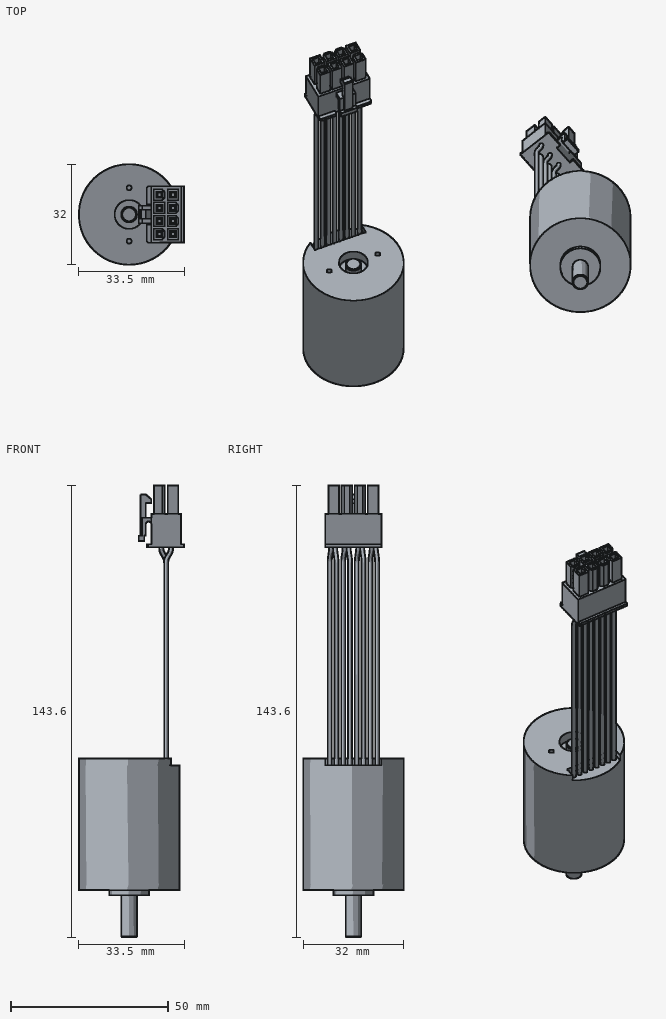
import cadquery as cq

case_diameter = 32.0
end_band_height = 1.7
cap_bottom_z = 39.6
cap_height = 2.2
cap_top_z = cap_bottom_z + cap_height
boss_diameter = 12.8
boss_height = 1.7

shaft_diameter = 5.0
shaft_bottom_z = -15.1
shaft_end_chamfer = 0.36
shaft_top_recess = 0.7

shaft_recess_diameter = 9.2
shaft_recess_depth = 3.6
screw_hole_diameter = 1.6
screw_hole_spacing = 17.0
screw_hole_depth = 2.9
notch_start_x = 9.9
notch_width = 17.8

circuit_rows = 4
socket_row_pitch = 4.2
connector_x = 11.8
connector_depth = 9.5
connector_width = 18.0
connector_bottom_z = 108.8
connector_shoulder_z = 119.5
connector_top_z = 128.5
connector_left_x = connector_x - connector_depth / 2
connector_right_x = connector_x + connector_depth / 2

rim_height = 1.0
rim_latch_side = 1.36
rim_plain_side = 0.93
rim_gap_width = 6.5
rim_corner_chamfer = 0.5

socket_size = 3.5
socket_column_pitch = 4.3
socket_corner_chamfer = 0.9
cavity_size = 2.0
cavity_depth = 8.6
contact_hole_size = 1.1
contact_hole_depth = 2.9

latch_outer_x = 3.6
latch_inner_x = 5.3
latch_top_z = 125.6
latch_tip_chamfer = 0.3
latch_arm_width = 2.9
hook_bottom_z = 122.9
hook_side_z = 124.2
lever_width = 5.6
lever_outer_x = 4.2
lever_top_z = 118.3
bridge_thickness = 1.3
bridge_arch_radius = 0.7
foot_outer_x = 3.0
foot_inner_x = 4.9
foot_top_z = 112.6
foot_bottom_z = 110.9

wire_diameter = 1.36
wire_pitch = 2.2
wire_bend_z = 104.0
wire_entry_offset_x = 1.6
wire_entry_offset_y = 0.65


def cylinder(diameter, bottom_z, top_z):
    return cq.Workplane("XY").workplane(offset=bottom_z).circle(diameter / 2).extrude(top_z - bottom_z)


def block(x_range, width, z_range):
    """Box centred on Y = 0."""
    depth = x_range[1] - x_range[0]
    height = z_range[1] - z_range[0]
    return (
        cq.Workplane("XY")
        .box(depth, width, height, centered=(False, True, False))
        .translate((x_range[0], 0, z_range[0]))
    )


def make_motor():
    motor = cylinder(case_diameter, end_band_height, cap_bottom_z)
    motor = motor.union(cylinder(case_diameter, 0, end_band_height), clean=False)
    motor = motor.union(cylinder(case_diameter, cap_bottom_z, cap_top_z), clean=False)
    motor = motor.union(cylinder(boss_diameter, -boss_height, 0), clean=False)

    notch = block((notch_start_x, case_diameter), notch_width, (cap_bottom_z, cap_top_z))
    motor = motor.cut(notch, clean=False)

    motor = motor.cut(cylinder(shaft_recess_diameter, cap_top_z - shaft_recess_depth, cap_top_z), clean=False)

    for side in (-1, 1):
        hole = cylinder(screw_hole_diameter, cap_top_z - screw_hole_depth, cap_top_z)
        motor = motor.cut(hole.translate((0, side * screw_hole_spacing / 2, 0)), clean=False)

    shaft = cylinder(shaft_diameter, shaft_bottom_z, cap_top_z - shaft_top_recess)
    shaft = shaft.faces("<Z or >Z").chamfer(shaft_end_chamfer)
    return motor.union(shaft, clean=False)


def row_y(row, pitch):
    """Place of a row when the rows are centred on Y = 0."""
    return (row - (circuit_rows - 1) / 2) * pitch


def make_socket(chamfered):
    height = connector_top_z - connector_shoulder_z
    socket = cq.Workplane("XY").box(socket_size, socket_size, height, centered=(True, True, False))
    if chamfered:
        socket = socket.edges("|Z and >X").chamfer(socket_corner_chamfer)
    return socket.translate((0, 0, connector_shoulder_z))


def make_cavity():
    cavity = cq.Workplane("XY").rect(cavity_size, cavity_size).extrude(-cavity_depth)
    contact_hole = (
        cq.Workplane("XY")
        .rect(contact_hole_size, contact_hole_size)
        .extrude(-cavity_depth - contact_hole_depth)
    )
    return cavity.union(contact_hole).translate((0, 0, connector_top_z))


def make_latch():
    arm = (
        cq.Workplane("XZ")
        .moveTo(latch_outer_x, foot_top_z)
        .lineTo(latch_outer_x, latch_top_z - latch_tip_chamfer)
        .lineTo(latch_outer_x + latch_tip_chamfer, latch_top_z)
        .lineTo(latch_inner_x, latch_top_z)
        .lineTo(connector_left_x, hook_side_z)
        .lineTo(connector_left_x, hook_bottom_z)
        .lineTo(latch_inner_x, hook_bottom_z)
        .lineTo(latch_inner_x, foot_top_z)
        .close()
        .extrude(latch_arm_width / 2, both=True)
    )
    arch_z = lever_top_z - bridge_thickness - bridge_arch_radius
    arch_middle_x = (latch_inner_x + connector_left_x) / 2
    lever = (
        cq.Workplane("XZ")
        .moveTo(lever_outer_x, lever_top_z)
        .lineTo(connector_left_x, lever_top_z)
        .lineTo(connector_left_x, arch_z)
        .threePointArc((arch_middle_x, arch_z + bridge_arch_radius), (latch_inner_x, arch_z))
        .lineTo(latch_inner_x, foot_top_z)
        .lineTo(foot_inner_x, foot_top_z)
        .lineTo(foot_inner_x, foot_bottom_z)
        .lineTo(foot_outer_x, foot_bottom_z)
        .lineTo(foot_outer_x, foot_top_z)
        .lineTo(lever_outer_x, foot_top_z)
        .close()
        .extrude(lever_width / 2, both=True)
    )
    return arm.union(lever)


def make_connector():
    body_x = (connector_left_x, connector_right_x)
    rim_x = (connector_left_x - rim_latch_side, connector_right_x + rim_plain_side)
    rim_z = (connector_bottom_z, connector_bottom_z + rim_height)
    rim = block(rim_x, connector_width, rim_z).edges("|Z and <X").chamfer(rim_corner_chamfer)
    rim = rim.cut(block((rim_x[0], connector_left_x), rim_gap_width, rim_z))
    connector = block(body_x, connector_width, (connector_bottom_z, connector_shoulder_z)).union(rim)
    connector = connector.union(make_latch())

    for row in range(circuit_rows):
        for side in (-1, 1):
            outer_row = row in (0, circuit_rows - 1)
            chamfered = outer_row == (side == -1)
            place = (connector_x + side * socket_column_pitch / 2, row_y(row, socket_row_pitch), 0)
            connector = connector.union(make_socket(chamfered).translate(place))
            connector = connector.cut(make_cavity().translate(place))
    return connector


def make_wire(row, side):
    """Straight wire that swings to one side just below the connector."""
    pair_y = row_y(row, 2 * wire_pitch)
    start_y = pair_y - side * wire_pitch / 2
    bend_start = cq.Vector(connector_x, start_y, wire_bend_z)
    entry = cq.Vector(
        connector_x + side * wire_entry_offset_x,
        pair_y - side * wire_entry_offset_y,
        connector_bottom_z,
    )
    up = cq.Vector(0, 0, 1)
    straight = cylinder(wire_diameter, cap_bottom_z, wire_bend_z).translate((connector_x, start_y, 0))
    bend_path = cq.Workplane("XY").newObject([cq.Edge.makeSpline([bend_start, entry], [up, up])])
    bend_plane = cq.Workplane("XY", origin=bend_start.toTuple())
    bend = bend_plane.circle(wire_diameter / 2).sweep(bend_path)
    return straight.union(bend, clean=False)


motor = make_motor()
connector = make_connector()
wires = [make_wire(row, side) for row in range(circuit_rows) for side in (-1, 1)]

result = cq.Compound.makeCompound([motor.val(), connector.val(), *[wire.val() for wire in wires]])